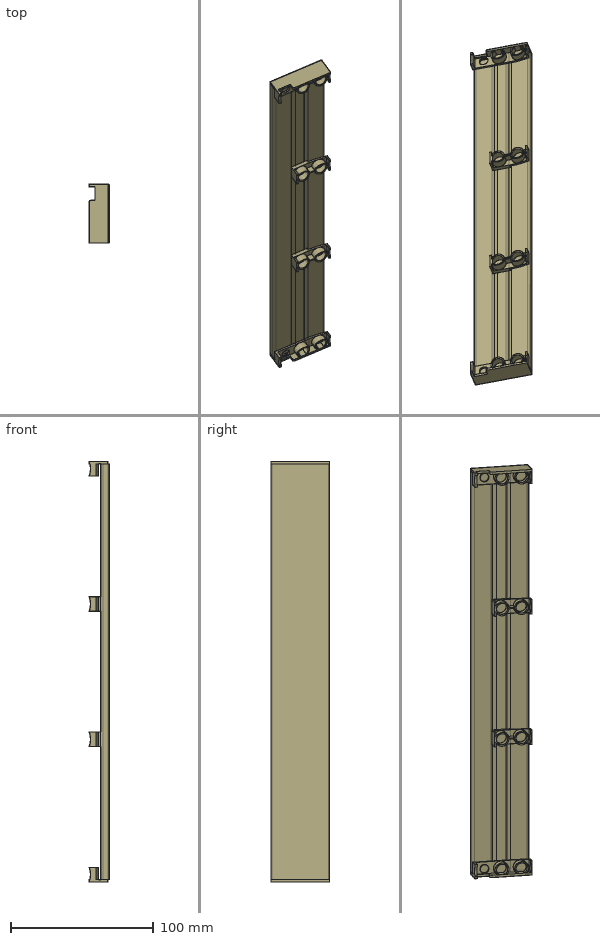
import cadquery as cq
import math

TIP_REACH = 5.3
WALL_THICK = 1.33
PAD_THICK = 1.42
RAIL_THICK = 6.2
DEPTH = TIP_REACH + WALL_THICK + PAD_THICK + RAIL_THICK
TIP_X = -DEPTH / 2
WALL_FRONT_X = TIP_X + TIP_REACH
WALL_BACK_X = WALL_FRONT_X + WALL_THICK
RAIL_FRONT_X = WALL_BACK_X + PAD_THICK
RAIL_BACK_X = RAIL_FRONT_X + RAIL_THICK

WIDTH = 41.5
LENGTH = 295.5
Y_MIN = -WIDTH / 2
Y_MAX = WIDTH / 2

PLATE_THICK = 1.8
RAIL_LENGTH = LENGTH - 2 * PLATE_THICK
FRONT_EDGE_RADIUS = 1.8
BACK_EDGE_RADIUS = 1.0
GROOVE_TOP_YS = [7.0, -3.3]
GROOVE_WIDTH = 3.8
GROOVE_DEPTH = 1.5

CLIP_HEIGHT = 10.3
CLIP_Z_OUTER = LENGTH / 2 - CLIP_HEIGHT / 2
CLIP_Z_INNER = CLIP_Z_OUTER / 3
BEND_Y = -6.2
BEND_RADIUS = 58.0
LIP_THICK = 1.2
SCALLOP_DEPTH = 1.0
CLIP_TOP_Y = 6.5

TUBE_OUTER_DIA = 10.0
TUBE_BORE_DIA = 8.0
TUBE_SPACING = 14.2
TUBE_YS = [BEND_Y + TUBE_SPACING / 2, BEND_Y - TUBE_SPACING / 2]
RIB_THICK = 1.0

CAP_BACK_MARGIN = 1.03
CAP_HOLE_DIA = 6.2
CAP_HOLE_Y = 12.5
LEG_THICK = 1.8
NOTCH_DEPTH = 4.0
NOTCH_LOW_Y = 9.5
NOTCH_CORNER_DIA = 2.7


def arc_rise(radius, run):
    """Distance that an arc leaves its tangent after the given run."""
    return radius - math.sqrt(radius ** 2 - run ** 2)


def box(x_min, x_max, y_min, y_max, height):
    """Box over the given X and Y ranges, centred on Z = 0."""
    return cq.Workplane("XY").box(
        x_max - x_min, y_max - y_min, height, centered=(False, False, True)
    ).translate((x_min, y_min, 0))


def x_cylinder(y, diameter, x_min, x_max):
    return cq.Workplane("YZ", origin=(x_min, y, 0)).circle(diameter / 2).extrude(x_max - x_min)


def make_groove(top_y):
    """Groove with a rounded upper edge, whose floor slopes back up to the rail's front."""
    rounding = GROOVE_DEPTH * math.sqrt(0.5)
    return (
        cq.Workplane("XY", origin=(0, 0, -RAIL_LENGTH / 2))
        .moveTo(RAIL_FRONT_X, top_y)
        .threePointArc(
            (RAIL_FRONT_X + GROOVE_DEPTH - rounding, top_y - rounding),
            (RAIL_FRONT_X + GROOVE_DEPTH, top_y - GROOVE_DEPTH),
        )
        .lineTo(RAIL_FRONT_X, top_y - GROOVE_WIDTH)
        .close()
        .extrude(RAIL_LENGTH)
    )


def make_rail():
    """Solid strip with rounded edges and two grooves along its front."""
    rail = box(RAIL_FRONT_X, RAIL_BACK_X, Y_MIN, Y_MAX, RAIL_LENGTH)
    rail = rail.edges("|Z and <X").fillet(FRONT_EDGE_RADIUS)
    rail = rail.edges("|Z and >X").fillet(BACK_EDGE_RADIUS)
    for top_y in GROOVE_TOP_YS:
        rail = rail.cut(make_groove(top_y))
    return rail


def start_wall_front(top_y):
    """Outline of the wall's front: straight down to the bend, then an arc out to the lower end."""
    front_radius = BEND_RADIUS - WALL_THICK
    run = BEND_Y - Y_MIN
    return (
        cq.Workplane("XY", origin=(0, 0, -CLIP_HEIGHT / 2))
        .moveTo(WALL_FRONT_X, top_y)
        .lineTo(WALL_FRONT_X, BEND_Y)
        .threePointArc(
            (WALL_FRONT_X - arc_rise(front_radius, run / 2), BEND_Y - run / 2),
            (WALL_FRONT_X - arc_rise(front_radius, run), Y_MIN),
        )
    )


def make_space_before_wall():
    """Room between the clip wall and the plane of the tips."""
    return (
        start_wall_front(Y_MAX)
        .lineTo(TIP_X, Y_MIN)
        .lineTo(TIP_X, Y_MAX)
        .close()
        .extrude(CLIP_HEIGHT)
    )


def make_wall(top_y):
    """Clip wall of even thickness, flat above the bend and curved forward below it."""
    run = BEND_Y - Y_MIN
    return (
        start_wall_front(top_y)
        .lineTo(WALL_BACK_X - arc_rise(BEND_RADIUS, run), Y_MIN)
        .threePointArc(
            (WALL_BACK_X - arc_rise(BEND_RADIUS, run / 2), BEND_Y - run / 2),
            (WALL_BACK_X, BEND_Y),
        )
        .lineTo(WALL_BACK_X, top_y)
        .close()
        .extrude(CLIP_HEIGHT)
    )


def make_scallop():
    """Cylinder along Y that hollows the clip tips."""
    radius = (CLIP_HEIGHT ** 2 / 4 + SCALLOP_DEPTH ** 2) / (2 * SCALLOP_DEPTH)
    return (
        cq.Workplane("XZ", origin=(TIP_X + SCALLOP_DEPTH - radius, Y_MAX, 0))
        .circle(radius)
        .extrude(WIDTH)
    )


def make_channel(top_y, top_lip_thick, rib_top_y):
    """Clip wall with a lip at each end, two tubes, and a middle rib down to the lower lip."""
    raised = box(TIP_X, WALL_BACK_X, Y_MIN, Y_MIN + LIP_THICK, CLIP_HEIGHT)
    raised = raised.union(box(TIP_X, WALL_BACK_X, top_y - top_lip_thick, top_y, CLIP_HEIGHT))
    raised = raised.union(box(TIP_X, WALL_BACK_X, Y_MIN, rib_top_y, RIB_THICK))
    for y in TUBE_YS:
        raised = raised.union(x_cylinder(y, TUBE_OUTER_DIA, TIP_X, WALL_BACK_X))
    for y in TUBE_YS:
        raised = raised.cut(x_cylinder(y, TUBE_BORE_DIA, TIP_X, WALL_BACK_X))
    raised = raised.intersect(make_space_before_wall()).cut(make_scallop())
    return make_wall(top_y).union(raised)


def make_middle_clip(z):
    """Clip channel with a pad that stands on the rail."""
    clip = make_channel(CLIP_TOP_Y, LIP_THICK, TUBE_YS[0])
    pad = box(WALL_BACK_X, RAIL_FRONT_X, BEND_Y, CLIP_TOP_Y, CLIP_HEIGHT)
    return clip.union(pad).translate((0, 0, z))


def make_end_plate():
    """Plate over the rail's end, with a notch in its front edge."""
    plate = box(TIP_X, RAIL_BACK_X - CAP_BACK_MARGIN, Y_MIN, Y_MAX, PLATE_THICK)
    plate = plate.cut(
        box(TIP_X, TIP_X + NOTCH_DEPTH, NOTCH_LOW_Y, Y_MAX - LEG_THICK, PLATE_THICK)
    )
    corner = cq.selectors.NearestToPointSelector((TIP_X, NOTCH_LOW_Y, 0))
    return plate.edges("|Z").edges(corner).fillet(NOTCH_CORNER_DIA / 2)


def make_end_cap():
    """Cap for the +Z end: a clip channel as wide as the rail, joined to the end plate."""
    cap = make_channel(Y_MAX, LEG_THICK, TUBE_YS[1])
    cap = cap.cut(x_cylinder(CAP_HOLE_Y, CAP_HOLE_DIA, WALL_FRONT_X, WALL_BACK_X))
    plate = make_end_plate().translate((0, 0, (CLIP_HEIGHT - PLATE_THICK) / 2))
    return cap.union(plate).translate((0, 0, CLIP_Z_OUTER))


rail = make_rail()
middle_clips = [make_middle_clip(z) for z in (-CLIP_Z_INNER, CLIP_Z_INNER)]
top_cap = make_end_cap()
end_caps = [top_cap, top_cap.mirror("XY")]

bodies = [rail] + middle_clips + end_caps
result = cq.Compound.makeCompound([body.solids().val() for body in bodies])